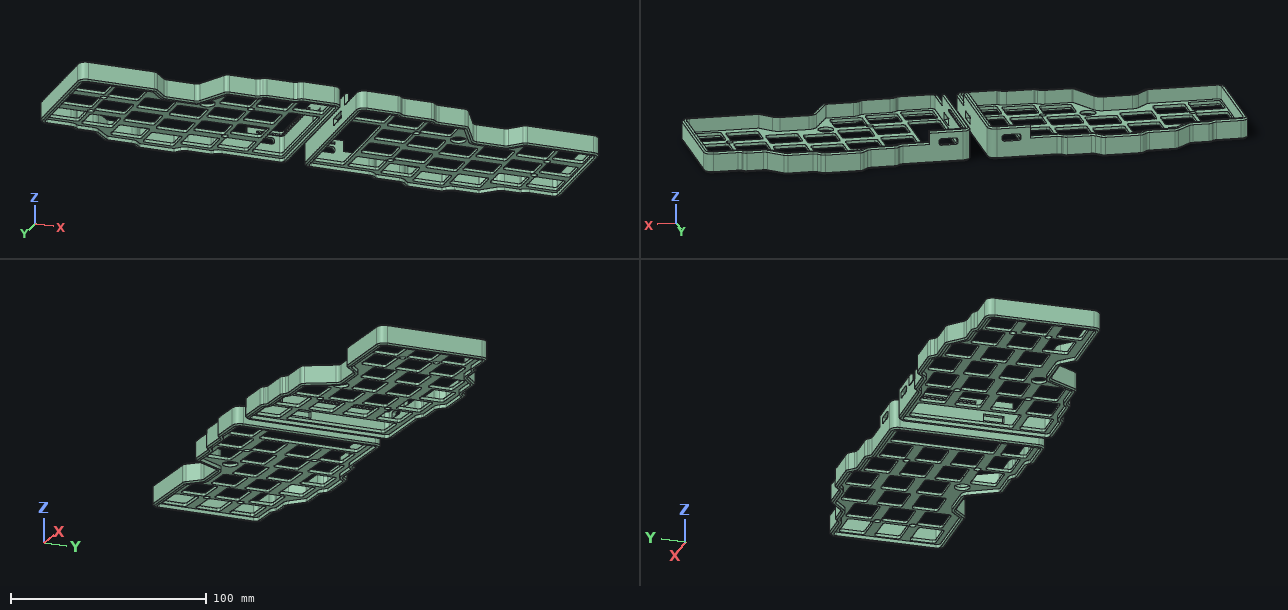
import cadquery as cq
half_length = 142.3
half_gap = 4.5
rim_height = 11.0
shield_height = 17.0
plate_bottom = 2.0
plate_top = 3.7
wall = 2.3
edge_chamfer = 0.9
end_radius = 4.3
corner_radius = 2.8

column_count = 7
grid_span = 113.8
key_pitch = grid_span / (column_count - 1)
last_column_x = -16.8
key_width = 16.8
key_depth = 13.7
key_radius = 1.5
key_margin = 4.98
top_row_y = [19.4, 21.3, 29.5, 33.0, 28.7, 26.2, 24.0]
rows_in_column = [3, 3, 3, 3, 4, 4, 4]

bay_top = 32.7
bay_bottom = -22.5

screw_diameter = 3.5
screw_places = [(0, 0), (0, 1), (4, 0), (4, 2)]
reset_diameter = 8.0
reset_x = -68.5
reset_y = -18.8

shield_x = -26.5
shield_y = -23.5
lip_depth = 0.9
lip_height = 0.9
lip_bottom = 14.2
lip_x = -21.3
lip_y = -3.5

usb_x = -16.5
usb_width = 10.0
usb_bottom = 9.5
usb_top = 12.8
usb_radius = 1.5
jack_y = -13.0
jack_width = 10.8
jack_bottom = 5.0
jack_top = 8.8

notch_y = -22.8


def column_x(column):
    return last_column_x - (column_count - 1 - column) * key_pitch


def row_y(column, row):
    return top_row_y[column] - row * key_pitch


def back_y(column):
    return row_y(column, 0) + key_depth / 2 + key_margin


def front_y(column):
    return row_y(column, rows_in_column[column] - 1) - key_depth / 2 - key_margin


def box(x_range, y_range, z_range):
    sizes = [high - low for low, high in (x_range, y_range, z_range)]
    corner = (x_range[0], y_range[0], z_range[0])
    return cq.Workplane("XY").box(*sizes, centered=False).translate(corner)


def outline_points():
    return [
        (-half_length, back_y(0)),
        (-124.0, back_y(0)),
        (-122.0, back_y(1)),
        (-111.3, back_y(1)),
        (-102.5, back_y(2)),
        (-86.8, back_y(2)),
        (-83.7, back_y(3)),
        (-63.0, back_y(3)),
        (-59.0, back_y(4)),
        (-43.8, back_y(4)),
        (-41.5, back_y(5)),
        (-half_gap, back_y(5)),
        (-half_gap, front_y(6)),
        (-27.0, front_y(6)),
        (-29.3, front_y(5)),
        (-46.0, front_y(5)),
        (-49.0, front_y(4)),
        (-66.0, front_y(4)),
        (-75.5, notch_y),
        (-93.3, notch_y),
        (-100.7, front_y(0)),
        (-half_length, front_y(0)),
    ]


def outline():
    corners = outline_points()
    polygon = cq.Wire.makePolygon([cq.Vector(x, y) for x, y in corners], close=True)
    ends = [v for v in polygon.Vertices() if v.X in (-half_length, -half_gap)]
    bends = [v for v in polygon.Vertices() if v.X not in (-half_length, -half_gap)]
    return polygon.fillet2D(corner_radius, bends).fillet2D(end_radius, ends)


def outer_block(height):
    return cq.Workplane("XY").add(outline()).toPending().extrude(height)


def inset_block(inset, bottom, top):
    inner = outline().offset2D(-inset)[0].translate((0, 0, bottom))
    return cq.Workplane("XY").workplane(offset=bottom).add(inner).toPending().extrude(top - bottom)


def chamfered_block(height):
    return outer_block(height).faces("<Z or >Z").edges().chamfer(edge_chamfer)


def cavity():
    return inset_block(wall, plate_top, shield_height)


def underside_recess():
    return inset_block(wall, 0, plate_bottom)


def shield():
    bay = box((shield_x, 0), (shield_y, half_length), (plate_top, shield_height))
    return chamfered_block(shield_height).cut(cavity()).intersect(bay)


def lip():
    ring = inset_block(wall, lip_bottom, lip_bottom + lip_height).cut(
        inset_block(wall + lip_depth, lip_bottom, lip_bottom + lip_height)
    )
    return ring.intersect(box((lip_x, 0), (lip_y, half_length), (0, shield_height)))


def key_openings():
    centres = [
        (column_x(column), row_y(column, row))
        for column in range(column_count)
        for row in range(rows_in_column[column])
        if column < column_count - 1 or row == rows_in_column[column] - 1
    ]
    keys = cq.Workplane("XY").pushPoints(centres).rect(key_width, key_depth).extrude(plate_top)
    return keys.edges("|Z").fillet(key_radius)


def bay_opening():
    x = column_x(column_count - 1)
    opening = box((x - key_width / 2, x + key_width / 2), (bay_bottom, bay_top), (0, plate_top))
    return opening.edges("|Z").fillet(key_radius)


def round_holes():
    screws = [
        (
            (column_x(column) + column_x(column + 1)) / 2,
            (row_y(column, row) + row_y(column + 1, row + 1)) / 2,
        )
        for column, row in screw_places
    ]
    holes = cq.Workplane("XY").pushPoints(screws).circle(screw_diameter / 2).extrude(plate_top)
    reset = cq.Workplane("XY").center(reset_x, reset_y).circle(reset_diameter / 2).extrude(plate_top)
    return holes.add(reset).combine()


def usb_opening():
    y_inside = back_y(5) - 2 * wall
    opening = box(
        (usb_x - usb_width / 2, usb_x + usb_width / 2), (y_inside, back_y(5) + wall), (usb_bottom, usb_top)
    )
    return opening.edges("|Y").fillet(usb_radius)


def jack_opening():
    return box(
        (-half_gap - 2 * wall, 0),
        (jack_y - jack_width / 2, jack_y + jack_width / 2),
        (jack_bottom, jack_top),
    )


def left_case():
    case = chamfered_block(rim_height).cut(cavity()).cut(underside_recess())
    case = case.union(shield()).union(lip())
    for opening in (key_openings(), bay_opening(), round_holes(), usb_opening(), jack_opening()):
        case = case.cut(opening)
    return case


left = left_case()
right = left.mirror("YZ")

result = cq.Compound.makeCompound([left.val(), right.val()])